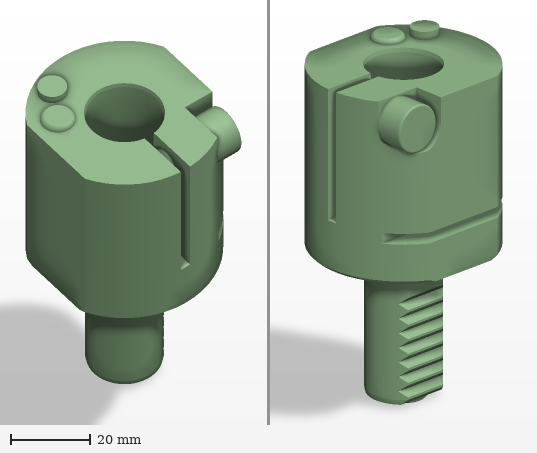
import cadquery as cq
import math


body_diameter = 49.9
body_height = 50.0
width_across_flats = 44.0
seat_chamfer = 0.9

bore_diameter = 20.0
bore_mouth_diameter = 20.5
bore_mouth_depth = 1.1
bore_depth = 40.0

shank_diameter = 20.0
shank_length = 39.5
shank_end_chamfer_length = 1.4
shank_end_chamfer_width = 0.3
plug_diameter = 12.0
plug_height = 1.2
plug_chamfer = 0.2

rack_flat_y = 8.0
rack_flat_start = 7.0
tooth_pitch = 4.0
tooth_depth = 1.7
tooth_flank_angle = 45.0
first_groove_depth_below_seat = 11.7
groove_count = 8

cross_slot_top_below_face = 36.0
cross_slot_height = 3.0
cross_slot_floor_y = 13.9

slit_width = 3.0
slit_depth = cross_slot_top_below_face

screw_x = 15.0
screw_below_face = 7.0
screw_diameter = 8.0
screw_head_diameter = 13.0
screw_head_length = 7.8
screw_head_fillet = 0.6
screw_seat_y = 13.1
screw_pocket_diameter = 14.0

plain_pin_diameter = 7.5
plain_pin_height = 2.2
plain_pin_position = (-16.8, -9.95)
domed_pin_base_diameter = 9.0
domed_pin_top_diameter = 7.2
domed_pin_height = 1.4
domed_pin_position = (-8.6, -14.7)

clearance = 4.65

body_radius = body_diameter / 2
screw_z = body_height - screw_below_face


def make_body():
    """Round body with a chamfered seat edge and two flats facing +Y and -Y."""
    round_body = cq.Workplane("XY").circle(body_radius).extrude(body_height)
    round_body = round_body.faces("<Z").chamfer(seat_chamfer)
    flats = cq.Workplane("XY").rect(2 * body_diameter, width_across_flats).extrude(body_height)
    return round_body.intersect(flats)


def make_bore():
    """Blind bore with a slender conical mouth."""
    bore_radius = bore_diameter / 2
    bore_floor = body_height - bore_depth
    profile = [
        (0, bore_floor),
        (bore_radius, bore_floor),
        (bore_radius, body_height - bore_mouth_depth),
        (bore_mouth_diameter / 2, body_height),
        (0, body_height),
    ]
    return cq.Workplane("XZ").polyline(profile).close().revolve(360, (0, 0, 0), (0, 1, 0))


def make_cross_slot():
    """Slot along X, open to the +Y flat."""
    slot_bottom = body_height - cross_slot_top_below_face - cross_slot_height
    slot = cq.Workplane("XY").box(
        body_diameter, body_radius, cross_slot_height, centered=(True, False, False)
    )
    return slot.translate((0, cross_slot_floor_y, slot_bottom))


def make_slit():
    """Slit from the bore out through the +X side."""
    slit = cq.Workplane("XY").box(
        body_radius + clearance, slit_width, slit_depth, centered=(False, True, False)
    )
    return slit.translate((0, 0, body_height - slit_depth))


def make_screw_pocket():
    """Round-bottomed pocket for the screw head, open to the top and to +Y."""
    pocket_length = body_radius
    start = cq.Workplane("XZ", origin=(screw_x, screw_seat_y, screw_z))
    round_bottom = start.circle(screw_pocket_diameter / 2).extrude(-pocket_length)
    open_top = cq.Workplane("XY").box(
        screw_pocket_diameter, pocket_length, screw_below_face, centered=(True, False, False)
    )
    return round_bottom.union(open_top.translate((screw_x, screw_seat_y, screw_z)))


def make_screw():
    """Screw head on its seat and the stem that crosses the slit."""
    head = (
        cq.Workplane("XZ", origin=(screw_x, screw_seat_y, screw_z))
        .circle(screw_head_diameter / 2)
        .extrude(-screw_head_length)
        .faces(">Y")
        .edges()
        .fillet(screw_head_fillet)
    )
    stem_end_y = -slit_width
    stem = (
        cq.Workplane("XZ", origin=(screw_x, stem_end_y, screw_z))
        .circle(screw_diameter / 2)
        .extrude(stem_end_y - screw_seat_y)
    )
    return head.union(stem)


def make_shank():
    """Shank with a slender end chamfer and the plug in its end face."""
    shank_radius = shank_diameter / 2
    plug_radius = plug_diameter / 2
    tip = -shank_length - plug_height
    profile = [
        (0, 0),
        (shank_radius, 0),
        (shank_radius, shank_end_chamfer_length - shank_length),
        (shank_radius - shank_end_chamfer_width, -shank_length),
        (plug_radius, -shank_length),
        (plug_radius, tip + plug_chamfer),
        (plug_radius - plug_chamfer, tip),
        (0, tip),
    ]
    return cq.Workplane("XZ").polyline(profile).close().revolve(360, (0, 0, 0), (0, 1, 0))


def make_rack_cut():
    """Flat on the +Y side of the shank with V grooves running along X."""
    cut_length = 2 * shank_diameter
    flat = cq.Workplane("XY").box(
        cut_length, shank_diameter, shank_length - rack_flat_start, centered=(True, False, False)
    )
    cut = flat.translate((0, rack_flat_y, -shank_length))
    half_width = tooth_depth * math.tan(math.radians(tooth_flank_angle))
    for index in range(groove_count):
        groove_z = -first_groove_depth_below_seat - index * tooth_pitch
        groove = (
            cq.Workplane("YZ")
            .polyline([
                (rack_flat_y, groove_z + half_width),
                (rack_flat_y - tooth_depth, groove_z),
                (rack_flat_y, groove_z - half_width),
            ])
            .close()
            .extrude(cut_length / 2, both=True)
        )
        cut = cut.union(groove)
    return cut


def make_plain_pin():
    """Upright cylindrical pin on the top face."""
    top_face = cq.Workplane("XY", origin=(*plain_pin_position, body_height))
    return top_face.circle(plain_pin_diameter / 2).extrude(plain_pin_height)


def make_domed_pin():
    """Low pin whose rounded side rises upright from the top face and curves in to a flat top."""
    base_radius = domed_pin_base_diameter / 2
    top_radius = domed_pin_top_diameter / 2
    inset = base_radius - top_radius
    side_arc_radius = (inset**2 + domed_pin_height**2) / (2 * inset)
    pin = (
        cq.Workplane("XZ")
        .lineTo(base_radius, 0)
        .radiusArc((top_radius, domed_pin_height), -side_arc_radius)
        .lineTo(0, domed_pin_height)
        .close()
        .revolve(360, (0, 0, 0), (0, 1, 0))
    )
    return pin.translate((*domed_pin_position, body_height))


body = make_body()
for cutter in (make_bore(), make_cross_slot(), make_slit(), make_screw_pocket()):
    body = body.cut(cutter)

shank = make_shank().cut(make_rack_cut())

result = body.union(shank).union(make_screw()).union(make_plain_pin()).union(make_domed_pin())